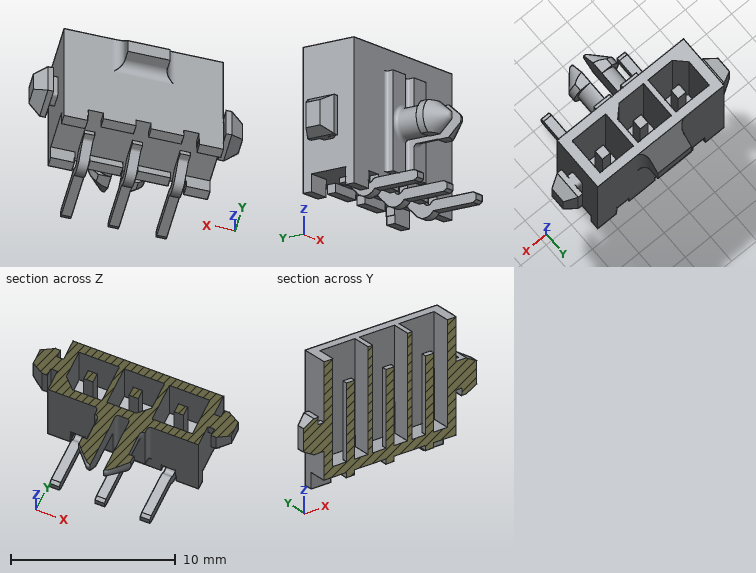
import cadquery as cq
import math


BODY_X = 10.0
BODY_Y = 3.85
BODY_Z = 9.25
PITCH = 3.0
WAY_OFFSETS = (-PITCH, 0, PITCH)

CAVITY_X = 2.64
CAVITY_FRONT_WALL = 0.62
CAVITY_BACK_WALL = 0.6
CAVITY_BACK_DRAFT = 0.04
CAVITY_FLOOR_Z = 1.89
KEY_CHAMFER = 0.71

FOOT_Y = 0.63
CEILING_Z = 1.13
LIP_Z = 0.54
LIP_CUT_X = 7.02
PIN_SLOT_X = 0.95

PIN_X = 0.63
CONTACT_FRONT_Y = 1.59
CONTACT_BACK_Y = 2.26
CONTACT_TOP_Z = BODY_Z - 1.97
SHOULDER_Y = 2.35
SHOULDER_TOP_Z = 1.45
SHOULDER_BOTTOM_Z = 0.79
TAIL_END_Y = -3.55
TAIL_Z = 0.67
TIP_CHAMFER_Y = 0.24
TIP_CHAMFER_Z = 0.15
BEND_Y = 0.4
BEND_RADIUS = 0.87
BEND_BOTTOM_Z = -0.35
VALLEY_Y = 0.1
VALLEY_Z = 0.29
VALLEY_RADIUS = 0.29
SHOULDER_BEND_RADIUS = 0.21
TAIL_BEND_RADIUS = 0.34

PEG_Z = 4.65
SPLIT_X = 0.9
PEG_RADIUS = 1.0
PEG_FILLET = 0.24
HEAD_RADIUS = 1.3
HEAD_HALF_Z = 1.02
TIP_RADIUS = 0.22
TIP_FILLET = 0.2
HEAD_START = 2.29
CONE_START = 2.8
PEG_END = 4.03
RIB_Y = 0.5
RIB_Z = 6.39
RIB_FILLET = 0.21
RIB_X = PEG_RADIUS + PEG_FILLET

LATCH_X = 2.65
LATCH_Y = 1.3
LATCH_NOSE_TOP_Z = 7.48
LATCH_NOSE_BOTTOM_Z = 6.33
LATCH_ROOT_BOTTOM_Z = 6.37
LATCH_FILLET = 0.62

CLIP_END_X = 6.57
CLIP_Z_OFFSET = 0.3
CLIP_HEAD_X = 1.15
CLIP_TAPER_X = 0.8
CLIP_HEAD_Y = 2.0
CLIP_HEAD_Z = 2.5
CLIP_TIP_Y = 1.08
CLIP_TIP_Z = 1.6
CLIP_NECK_Y = 1.0
CLIP_NECK_Z = 2.0
CLIP_NECK_FILLET = 0.21


def block(x_range, y_range, z_range):
    """Axis-aligned box given by its limits along X, Y and Z."""
    size = [high - low for low, high in (x_range, y_range, z_range)]
    start = (x_range[0], y_range[0], z_range[0])
    return cq.Workplane("XY").box(*size, centered=False).translate(start)


def quarter_arc_offset(radius):
    """Distance from a sharp inside corner, along both walls, to the middle of its fillet."""
    return radius * (1 - math.sin(math.radians(45)))


def cavity(x, key_side):
    """Pocket for one way; key_side is -1 or 1 for a chamfered front corner, 0 for none."""
    half = CAVITY_X / 2
    back_y = BODY_Y - CAVITY_BACK_WALL
    pocket = (
        cq.Workplane("YZ")
        .moveTo(CAVITY_FRONT_WALL, CAVITY_FLOOR_Z)
        .lineTo(back_y - CAVITY_BACK_DRAFT, CAVITY_FLOOR_Z)
        .lineTo(back_y, BODY_Z)
        .lineTo(CAVITY_FRONT_WALL, BODY_Z)
        .close()
        .extrude(half, both=True)
    )
    if key_side:
        mid_z = (CAVITY_FLOOR_Z + BODY_Z) / 2
        corner = cq.NearestToPointSelector((key_side * half, CAVITY_FRONT_WALL, mid_z))
        pocket = pocket.edges(corner).chamfer(KEY_CHAMFER)
    return pocket.translate((x, 0, 0))


def housing():
    half = BODY_X / 2
    body = block((-half, half), (0, BODY_Y), (0, BODY_Z))
    body = body.cut(block((-half, half), (FOOT_Y, BODY_Y - FOOT_Y), (0, CEILING_Z)))
    body = body.cut(block((-LIP_CUT_X / 2, LIP_CUT_X / 2), (0, BODY_Y), (0, LIP_Z)))
    for x, key_side in zip(WAY_OFFSETS, (-1, 1, 0)):
        body = body.cut(cavity(x, key_side))
        body = body.cut(block((x - PIN_SLOT_X / 2, x + PIN_SLOT_X / 2), (0, BODY_Y), (0, CEILING_Z)))
    return body


def pin(x):
    """Contact that drops out of the cavity floor, dips at 45 degrees and runs forward."""
    center_z = BEND_BOTTOM_Z + BEND_RADIUS
    leg = BEND_RADIUS * math.sin(math.radians(45))
    bend_start = (BEND_Y + leg, center_z - leg)
    bend_end_y = BEND_Y - math.sqrt(BEND_RADIUS**2 - center_z**2)
    shoulder_bend = (bend_start[0] + SHOULDER_BOTTOM_Z - bend_start[1], SHOULDER_BOTTOM_Z)
    tail_bend = (VALLEY_Y - (TAIL_Z - VALLEY_Z), TAIL_Z)
    profile = (
        cq.Workplane("YZ")
        .moveTo(CONTACT_FRONT_Y, CONTACT_TOP_Z)
        .lineTo(CONTACT_BACK_Y, CONTACT_TOP_Z)
        .lineTo(CONTACT_BACK_Y, SHOULDER_TOP_Z)
        .lineTo(SHOULDER_Y, SHOULDER_TOP_Z)
        .lineTo(SHOULDER_Y, SHOULDER_BOTTOM_Z)
        .lineTo(*shoulder_bend)
        .lineTo(*bend_start)
        .threePointArc((BEND_Y, BEND_BOTTOM_Z), (bend_end_y, 0))
        .lineTo(TAIL_END_Y + TIP_CHAMFER_Y, 0)
        .lineTo(TAIL_END_Y, TIP_CHAMFER_Z)
        .lineTo(TAIL_END_Y, TAIL_Z - TIP_CHAMFER_Z)
        .lineTo(TAIL_END_Y + TIP_CHAMFER_Y, TAIL_Z)
        .lineTo(*tail_bend)
        .lineTo(VALLEY_Y, VALLEY_Z)
        .lineTo(CONTACT_FRONT_Y, VALLEY_Z + CONTACT_FRONT_Y - VALLEY_Y)
        .close()
    )
    wire = profile.extrude(PIN_X / 2, both=True)
    rounded_corners = (
        (shoulder_bend, SHOULDER_BEND_RADIUS),
        (tail_bend, TAIL_BEND_RADIUS),
        ((VALLEY_Y, VALLEY_Z), VALLEY_RADIUS),
    )
    for (y, z), radius in rounded_corners:
        wire = wire.edges("|X").edges(cq.NearestToPointSelector((0, y, z))).fillet(radius)
    return wire.translate((x, 0, 0))


def half_peg():
    """Right half of the peg: half a turned body whose axis lies on the face of the split."""
    root_arc_offset = quarter_arc_offset(PEG_FILLET)
    turned = (
        cq.Workplane("XY")
        .moveTo(0, 0)
        .lineTo(PEG_RADIUS + PEG_FILLET, 0)
        .lineTo(PEG_RADIUS + PEG_FILLET, -RIB_Y)
        .threePointArc(
            (PEG_RADIUS + root_arc_offset, -RIB_Y - root_arc_offset),
            (PEG_RADIUS, -RIB_Y - PEG_FILLET),
        )
        .lineTo(PEG_RADIUS, -HEAD_START)
        .lineTo(HEAD_RADIUS, -HEAD_START)
        .lineTo(HEAD_RADIUS, -CONE_START)
        .lineTo(TIP_RADIUS, -PEG_END)
        .lineTo(0, -PEG_END)
        .close()
        .revolve(360, (0, 0), (0, 1))
        .faces("<Y")
        .edges()
        .fillet(TIP_FILLET)
    )
    for z_range in ((HEAD_HALF_Z, HEAD_RADIUS), (-HEAD_RADIUS, -HEAD_HALF_Z)):
        turned = turned.cut(block((-HEAD_RADIUS, HEAD_RADIUS), (-PEG_END, -HEAD_START), z_range))
    right_side = block((0, RIB_X), (-PEG_END, 0), (-RIB_X, RIB_X))
    right_side = right_side.union(
        block((0, HEAD_RADIUS), (-PEG_END, -HEAD_START), (-HEAD_RADIUS, HEAD_RADIUS))
    )
    return turned.intersect(right_side)


def rib():
    """Upright rib with a concave fillet along each foot, its inner side on X = 0."""
    arc_offset = quarter_arc_offset(RIB_FILLET)
    return (
        cq.Workplane("XY")
        .moveTo(-RIB_FILLET, 0)
        .threePointArc((-arc_offset, -arc_offset), (0, -RIB_FILLET))
        .lineTo(0, -RIB_Y)
        .lineTo(RIB_X, -RIB_Y)
        .lineTo(RIB_X, -RIB_FILLET)
        .threePointArc((RIB_X + arc_offset, -arc_offset), (RIB_X + RIB_FILLET, 0))
        .close()
        .extrude(RIB_Z / 2, both=True)
    )


def split_peg():
    right_half = rib().union(half_peg()).translate((SPLIT_X / 2, 0, PEG_Z))
    return right_half.union(right_half.mirror("YZ"))


def latch():
    """Ramp with a concave root: its side profile crossed with its plan."""
    arc_offset = quarter_arc_offset(LATCH_FILLET)
    half = LATCH_X / 2
    root_half = half + LATCH_FILLET
    side = (
        cq.Workplane("YZ")
        .moveTo(0, BODY_Z)
        .lineTo(LATCH_Y, LATCH_NOSE_TOP_Z)
        .lineTo(LATCH_Y, LATCH_NOSE_BOTTOM_Z)
        .lineTo(LATCH_FILLET, LATCH_ROOT_BOTTOM_Z)
        .threePointArc(
            (arc_offset, LATCH_ROOT_BOTTOM_Z - arc_offset),
            (0, LATCH_ROOT_BOTTOM_Z - LATCH_FILLET),
        )
        .close()
        .extrude(root_half, both=True)
    )
    plan = (
        cq.Workplane("XY")
        .moveTo(-root_half, 0)
        .threePointArc((-half - arc_offset, arc_offset), (-half, LATCH_FILLET))
        .lineTo(-half, LATCH_Y)
        .lineTo(half, LATCH_Y)
        .lineTo(half, LATCH_FILLET)
        .threePointArc((half + arc_offset, arc_offset), (root_half, 0))
        .close()
        .extrude(BODY_Z)
    )
    return side.intersect(plan).translate((0, BODY_Y, 0))


def left_clip():
    """Tapered head on a rounded neck, its head centred CLIP_Z_OFFSET below Z = 0."""
    head_inner_x = -CLIP_END_X + CLIP_HEAD_X
    collar_x = CLIP_HEAD_X - CLIP_TAPER_X
    head_center = cq.Vector(head_inner_x, 0, -CLIP_Z_OFFSET)
    collar = (
        cq.Workplane("YZ", origin=head_center)
        .rect(CLIP_HEAD_Y, CLIP_HEAD_Z)
        .extrude(-collar_x)
    )
    taper = (
        cq.Workplane("YZ", origin=head_center - cq.Vector(collar_x, 0, 0))
        .rect(CLIP_HEAD_Y, CLIP_HEAD_Z)
        .workplane(offset=-CLIP_TAPER_X)
        .rect(CLIP_TIP_Y, CLIP_TIP_Z)
        .loft(ruled=True)
    )
    neck_bottom = -CLIP_Z_OFFSET - CLIP_HEAD_Z / 2
    neck = block(
        (head_inner_x, -BODY_X / 2),
        (-CLIP_NECK_Y / 2, CLIP_NECK_Y / 2),
        (neck_bottom, neck_bottom + CLIP_NECK_Z),
    )
    neck = neck.edges("|X").fillet(CLIP_NECK_FILLET)
    return collar.union(taper).union(neck)


def side_clips():
    """Left clip and its half-turn copy, which sits higher on the right wall."""
    left = left_clip()
    right = left.rotate((0, 0, 0), (0, 1, 0), 180)
    return left.union(right).translate((0, BODY_Y / 2, PEG_Z))


result = housing().union(split_peg()).union(latch()).union(side_clips())
for way_x in WAY_OFFSETS:
    result = result.union(pin(way_x))